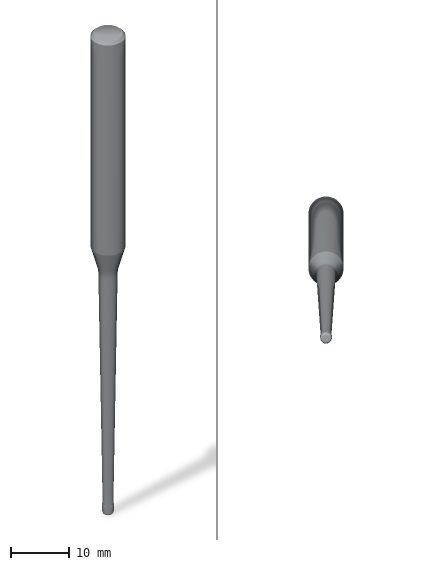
import cadquery as cq
import math

total_length = 100.0
shank_radius = 3.0
shank_chamfer = 0.5

head_radius = 1.0
head_length = 2.0
corner_radius = 0.5

collar_radius = 0.95
collar_top = 4.2
neck_top = 50.0
neck_top_diameter = 3.3
neck_top_radius = neck_top_diameter / 2
shoulder_top = 55.7
shoulder_angle = math.radians(15.0)
blend_height = 1.5

neck_angle = math.atan2(neck_top_radius - collar_radius, neck_top - collar_top)
blend_radius = blend_height / (math.sin(shoulder_angle) - math.sin(neck_angle))


def blend_point(angle):
    """Radius and height on the blend where its wall leans out by angle."""
    radius = neck_top_radius + blend_radius * (math.cos(neck_angle) - math.cos(angle))
    height = neck_top + blend_radius * (math.sin(angle) - math.sin(neck_angle))
    return radius, height


def revolve_about_z(profile):
    """Revolve a (radius, height) profile about Z."""
    return profile.close().revolve(360, (0, 0, 0), (0, 1, 0))


def make_cutting_head():
    """Short cylinder with a rounded lower corner."""
    head = revolve_about_z(
        cq.Workplane("XZ")
        .lineTo(head_radius, 0)
        .lineTo(head_radius, head_length)
        .lineTo(0, head_length)
    )
    return head.faces("<Z").edges().fillet(corner_radius)


def make_shank():
    """Collar, tapered neck, blended shoulder cone and chamfered shank."""
    shank = revolve_about_z(
        cq.Workplane("XZ")
        .moveTo(0, head_length)
        .lineTo(collar_radius, head_length)
        .lineTo(collar_radius, collar_top)
        .lineTo(neck_top_radius, neck_top)
        .threePointArc(blend_point((neck_angle + shoulder_angle) / 2), blend_point(shoulder_angle))
        .lineTo(shank_radius, shoulder_top)
        .lineTo(shank_radius, total_length)
        .lineTo(0, total_length)
    )
    return shank.faces(">Z").edges().chamfer(shank_chamfer)


cutting_head = make_cutting_head()
shank = make_shank()

result = cq.Compound.makeCompound([cutting_head.val(), shank.val()])